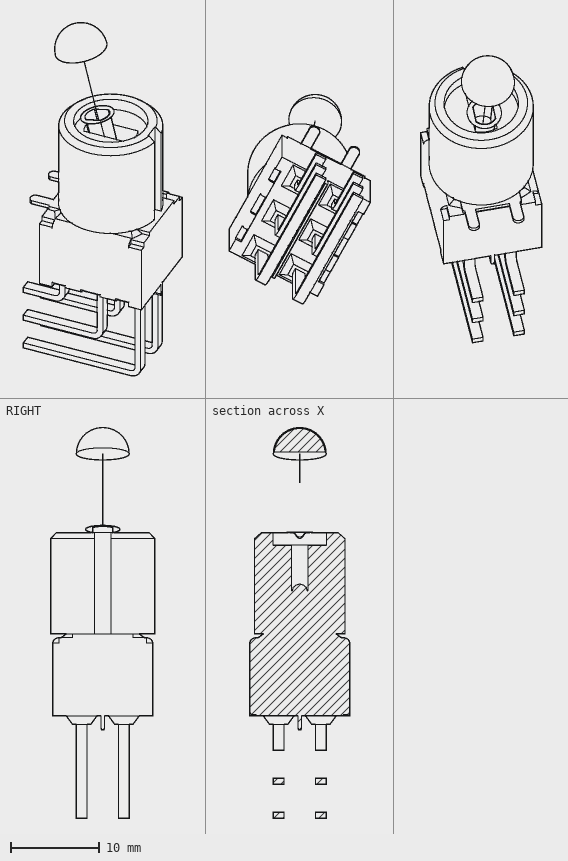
import cadquery as cq
import math

body_length = 12.67
body_width = 11.4
body_bottom = 11.6
body_top = 20.45
plate_thickness = 0.45
total_height = 44.3
overlap = 0.1

panel_length = 9.5
panel_thickness = 0.7
panel_bottom = 12.25
panel_roll_flat = 0.005
end_notch_depth = 0.58
tab_length = 1.95
tab_offset = 2.15
tab_drop = 0.5
tab_radius = 0.4

pin_thickness = 0.7
pin_width = 1.25
pin_column_pitch = 4.7
pin_row_offset = 2.4
pin_level_pitch = 3.85
pin_bend_radius = 0.58
pin_tip_x = -9.53

mound_length = 2.85
mound_width = 3.5
mound_height = 0.97
mound_inset = 0.7

keel_thickness = 0.45
keel_height = 1.6
keel_bevel_width = 0.1
keel_bevel_height = 0.25

plate_left = 6.25
plate_half_width = 3.4
plate_corner = 0.25
flag_tip_x = -8.8
flag_tip_rise = 0.4
flag_width = 1.25
flag_offset = 2.55

base_half_x = 4.8
base_half_y = 4.75
base_side_x = 5.45
base_taper = 55

bushing_diameter = 11.85
bushing_top = 32.4
bushing_chamfer = 0.65
recess_diameter = 8.4
recess_depth = 1.4
keyway_width = 1.85
keyway_floor_x = 5.05
slot_width = 2.53
ball_radius = 3.05

pivot_z = 25.7
lever_tilt = 13.3
cap_radius = 3.0
collar_radius = 1.95
collar_thickness = 0.05
collar_distance = 7.25
stem_radius = 1.45
stem_half_width = 1.15
stem_wall = 0.05
stem_foot = 2.6
thread_radius = 0.01

plate_top = body_top + plate_thickness
half_length = body_length / 2
half_width = body_width / 2
panel_roll_radius = panel_thickness - panel_roll_flat
recess_floor = bushing_top - recess_depth
cap_distance = (total_height - cap_radius - pivot_z) / math.cos(math.radians(lever_tilt))


def block(x0, x1, y0, y1, z0, z1):
    """Axis-aligned box between two corners."""
    return cq.Workplane("XY").box(x1 - x0, y1 - y0, z1 - z0, centered=False).translate((x0, y0, z0))


def make_body():
    """Body with rolled top edges, notched end blocks and undercut side panels."""
    body = block(-half_length, half_length, -half_width, half_width, body_bottom, body_top)
    inner = half_width - panel_thickness
    half_panel = panel_length / 2
    for side in (-1, 1):
        y0, y1 = sorted((side * inner, side * half_width))
        for end in (-1, 1):
            x0, x1 = sorted((end * half_panel, end * half_length))
            body = body.cut(block(x0, x1, y0, y1, body_top - end_notch_depth, body_top))
        body = body.cut(block(-half_panel, half_panel, y0, y1, body_bottom, body_top))
        outer_edge = ">Y" if side > 0 else "<Y"
        panel = block(-half_panel, half_panel, y0, y1, panel_bottom, body_top)
        panel = panel.faces(outer_edge).edges(">Z").fillet(panel_roll_radius)
        body = body.union(panel)
        for x in (-tab_offset, tab_offset):
            tab = block(x - tab_length / 2, x + tab_length / 2, y0, y1, panel_bottom - tab_drop, panel_bottom)
            body = body.union(tab.faces(outer_edge).edges("<Z").fillet(tab_radius))
    return body


def make_keel():
    """Keel along the middle of the body underside, with bevelled lower edges."""
    half = keel_thickness / 2
    top = body_bottom + overlap
    bottom = body_bottom - keel_height
    bevel_top = bottom + keel_bevel_height
    bottom_half = half - keel_bevel_width
    right_side = [(bottom_half, bottom), (half, bevel_top), (half, top)]
    left_side = [(-y, z) for y, z in reversed(right_side)]
    return (
        cq.Workplane("YZ", origin=(-half_length, 0, 0))
        .polyline(right_side + left_side)
        .close()
        .extrude(body_length)
    )


def make_pin(x, y, level):
    """Bent pin: drops from the body, turns through a round bend and runs towards -X."""
    left = x - pin_thickness / 2
    right = x + pin_thickness / 2
    upper = level + pin_thickness
    outer_radius = pin_bend_radius + pin_thickness
    top = body_bottom + overlap
    return (
        cq.Workplane("XZ", origin=(0, y + pin_width / 2, 0))
        .moveTo(pin_tip_x, level)
        .lineTo(right - outer_radius, level)
        .radiusArc((right, level + outer_radius), -outer_radius)
        .lineTo(right, top)
        .lineTo(left, top)
        .lineTo(left, upper + pin_bend_radius)
        .radiusArc((left - pin_bend_radius, upper), pin_bend_radius)
        .lineTo(pin_tip_x, upper)
        .close()
        .extrude(pin_width)
    )


def make_mound(x, y):
    """Sealing mound: a frustum narrowing downwards round a pin."""
    return (
        cq.Workplane("XY", origin=(x, y, body_bottom))
        .rect(mound_length, mound_width)
        .workplane(offset=-mound_height)
        .rect(mound_length - 2 * mound_inset, mound_width - 2 * mound_inset)
        .loft(combine=True)
    )


def make_plate():
    """Flat plate on the body with two round-ended flags pointing towards -X."""
    plate = block(-plate_left, half_length, -plate_half_width, plate_half_width, body_top, plate_top)
    plate = plate.edges("|Z and <X").fillet(plate_corner)
    half_flag = flag_width / 2
    for y in (-flag_offset, flag_offset):
        flag = (
            cq.Workplane("XY", origin=(0, y, body_top))
            .moveTo(0, -half_flag)
            .lineTo(flag_tip_x + flag_tip_rise, -half_flag)
            .threePointArc((flag_tip_x, 0), (flag_tip_x + flag_tip_rise, half_flag))
            .lineTo(0, half_flag)
            .close()
            .extrude(plate_thickness)
        )
        plate = plate.union(flag)
    return plate


def make_base():
    """Bevelled eight-sided base between the body and the bushing."""
    corners = [(base_half_x, base_half_y), (base_side_x, plate_half_width)]
    right_side = corners + [(x, -y) for x, y in reversed(corners)]
    left_side = [(-x, -y) for x, y in right_side]
    return (
        cq.Workplane("XY", origin=(0, 0, body_top))
        .polyline(right_side + left_side)
        .close()
        .extrude(plate_thickness, taper=base_taper)
    )


def make_bushing():
    """Round bushing with a recess in the top, a keyway on the +X side and a lever slot."""
    bushing = (
        cq.Workplane("XY", origin=(0, 0, plate_top))
        .circle(bushing_diameter / 2)
        .extrude(bushing_top - plate_top)
        .faces(">Z")
        .chamfer(bushing_chamfer)
    )
    recess = (
        cq.Workplane("XY", origin=(0, 0, recess_floor)).circle(recess_diameter / 2).extrude(recess_depth)
    )
    half_key = keyway_width / 2
    keyway = block(keyway_floor_x, bushing_diameter, -half_key, half_key, plate_top, bushing_top)
    half_slot = slot_width / 2
    slot = (
        cq.Workplane("XY", origin=(0, 0, pivot_z))
        .circle(ball_radius)
        .extrude(recess_floor - pivot_z)
        .intersect(block(-ball_radius, ball_radius, -half_slot, half_slot, pivot_z, bushing_top))
    )
    ball = cq.Workplane("XY", origin=(0, 0, pivot_z)).sphere(ball_radius)
    return bushing.cut(recess).cut(keyway).cut(slot.cut(ball))


def flattened_rod(radius, half_flat, start, end):
    """Rod along Z with two flats facing +Y and -Y."""
    rod = cq.Workplane("XY", origin=(0, 0, start)).circle(radius).extrude(end - start)
    return rod.intersect(block(-radius, radius, -half_flat, half_flat, start, end))


def make_lever():
    """Hollow stem with a thin collar, and a half-ball cap; built upright on the pivot, then tilted."""
    collar = (
        cq.Workplane("XY", origin=(0, 0, collar_distance - collar_thickness))
        .circle(collar_radius)
        .extrude(collar_thickness)
    )
    stem = flattened_rod(stem_radius, stem_half_width, stem_foot, collar_distance)
    bore = flattened_rod(
        stem_radius - stem_wall, stem_half_width - stem_wall, ball_radius, collar_distance
    )
    upper_half = block(-cap_radius, cap_radius, -cap_radius, cap_radius, 0, cap_radius)
    cap = cq.Workplane("XY").sphere(cap_radius).intersect(upper_half).translate((0, 0, cap_distance))
    thread = (
        cq.Workplane("XY", origin=(0, 0, stem_foot))
        .circle(thread_radius)
        .extrude(cap_distance + overlap - stem_foot)
    )
    lever = collar.union(stem).cut(bore).union(thread).union(cap)
    return lever.rotate((0, 0, 0), (0, 1, 0), -lever_tilt).translate((0, 0, pivot_z))


result = make_body().union(make_keel()).union(make_plate()).union(make_base())
for column, level_index in ((-1, 2), (0, 1), (1, 0)):
    for row in (-1, 1):
        pin_x = column * pin_column_pitch
        pin_y = row * pin_row_offset
        result = result.union(make_mound(pin_x, pin_y))
        result = result.union(make_pin(pin_x, pin_y, level_index * pin_level_pitch))
result = result.union(make_bushing()).union(make_lever())